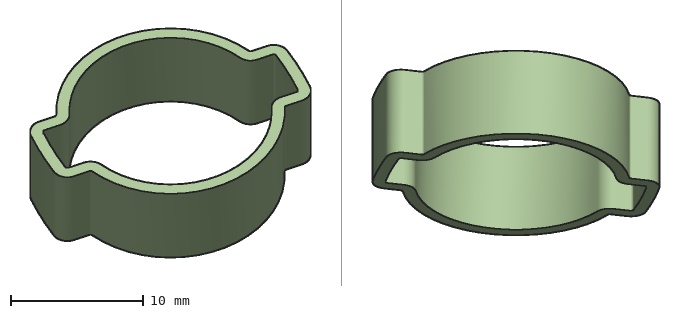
import cadquery as cq

length = 21.5
ring_diameter = 17.3
width = 7.0
thickness = 0.99
ear_width = 6.3
crown_radius = 25.79
tight_bend = 0.2

wide_bend = tight_bend + thickness


def clamp_body(inset, corner_radius, root_radius):
    """Solid bounded by the outer clamp outline moved inward by inset."""
    ring_radius = ring_diameter / 2 - inset
    half_ear = ear_width / 2 - inset
    half_length = length / 2 - inset
    arch_radius = crown_radius - inset
    shoulder_y = half_length - arch_radius + (arch_radius**2 - half_ear**2) ** 0.5
    root_y = (ring_radius**2 - half_ear**2) ** 0.5

    ears = (
        cq.Workplane("XY")
        .moveTo(-half_ear, -shoulder_y)
        .threePointArc((0, -half_length), (half_ear, -shoulder_y))
        .lineTo(half_ear, shoulder_y)
        .threePointArc((0, half_length), (-half_ear, shoulder_y))
        .close()
        .extrude(width)
        .edges("|Z")
        .fillet(corner_radius)
    )
    body = cq.Workplane("XY").circle(ring_radius).extrude(width).union(ears)

    margin = 0.02
    reach_x = half_ear + margin
    reach_y = root_y + margin
    roots = cq.selectors.BoxSelector((-reach_x, -reach_y, 0), (reach_x, reach_y, width))
    return body.edges("|Z").edges(roots).fillet(root_radius)


outside = clamp_body(0, wide_bend, tight_bend)
inside = clamp_body(thickness, tight_bend, wide_bend)

result = outside.cut(inside)